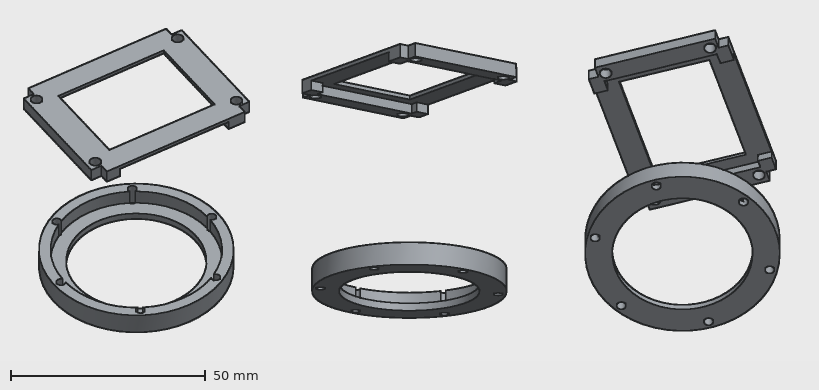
import cadquery as cq

overall_height = 58.0

ring_diameter = 50.0
ring_height = 6.0
recess_diameter = 44.0
bore_diameter = 36.0
ledge_height = 2.0
ring_hole_count = 6
ring_hole_diameter = 2.4
ring_hole_circle_radius = 22.95
ring_hole_first_angle = 30.0

frame_width = 37.45
frame_length = 48.15
frame_thickness = 3.6
frame_center_y = 0.05
notch_width = 2.6
notch_length = 3.1
window_width = 24.25
window_length = 32.0
frame_hole_diameter = 3.0
frame_hole_spacing_x = 28.0
frame_hole_spacing_y = 43.0

web_thickness = 1.1
front_foot_length = 7.1
back_foot_length = 8.0

pocket_width = 30.15
pocket_length = 38.3


def make_ring():
    """Stepped ring with a wide upper recess and holes that break into the recess wall."""
    body = cq.Workplane("XY").circle(ring_diameter / 2).extrude(ring_height)
    bore = cq.Workplane("XY").circle(bore_diameter / 2).extrude(ring_height)
    recess = (
        cq.Workplane("XY", origin=(0, 0, ledge_height))
        .circle(recess_diameter / 2)
        .extrude(ring_height - ledge_height)
    )
    holes = (
        cq.Workplane("XY")
        .polarArray(ring_hole_circle_radius, ring_hole_first_angle, 360, ring_hole_count)
        .circle(ring_hole_diameter / 2)
        .extrude(ring_height)
    )
    return body.cut(bore).cut(recess).cut(holes)


def make_frame():
    """Rectangular frame with notched corners, a window, corner holes and a hollow underside."""
    plane = cq.Workplane("XY", origin=(0, frame_center_y, overall_height - frame_thickness))
    plate = plane.rect(frame_width, frame_length).extrude(frame_thickness)

    notches = (
        plane.rect(frame_width, frame_length, forConstruction=True)
        .vertices()
        .rect(2 * notch_width, 2 * notch_length)
        .extrude(frame_thickness)
    )
    window = plane.rect(window_width, window_length).extrude(frame_thickness)
    holes = (
        plane.rect(frame_hole_spacing_x, frame_hole_spacing_y, forConstruction=True)
        .vertices()
        .circle(frame_hole_diameter / 2)
        .extrude(frame_thickness)
    )

    underside_depth = frame_thickness - web_thickness
    channel_length = frame_length - front_foot_length - back_foot_length
    channel_center_y = (front_foot_length - back_foot_length) / 2
    channel = (
        plane.center(0, channel_center_y)
        .rect(frame_width, channel_length)
        .extrude(underside_depth)
    )
    pocket = plane.rect(pocket_width, pocket_length).extrude(underside_depth)
    return plate.cut(notches).cut(window).cut(holes).cut(channel).cut(pocket)


ring = make_ring()
frame = make_frame()
result = cq.Compound.makeCompound([ring.val(), frame.val()])